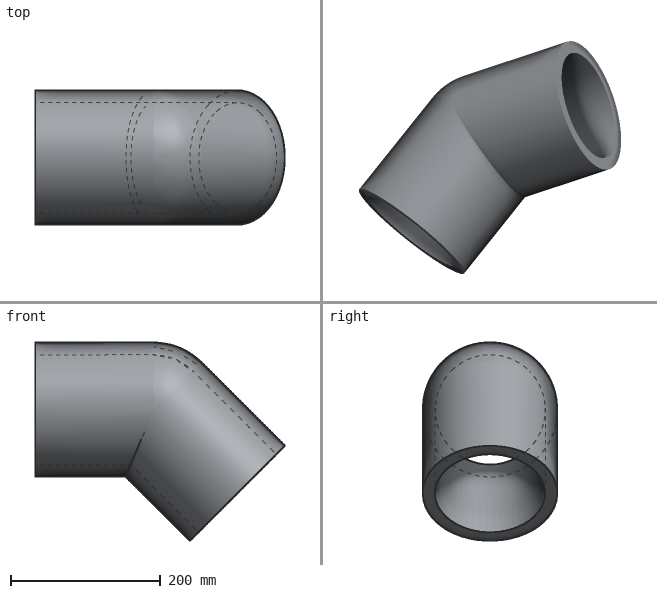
import cadquery as cq
import math

outer_diameter = 180.0
bore_diameter = 147.2
bend_angle = 45.0
leg_length = 158.5


def leg(radius, direction):
    """Cylinder from the bend centre to an open end along the given direction."""
    return cq.Workplane(cq.Solid.makeCylinder(radius, leg_length, cq.Vector(0, 0, 0), direction))


def bend_wedge(radius):
    """Spherical wedge between the two leg end planes, on the outside of the bend."""
    half_disc = (
        cq.Workplane("YZ")
        .moveTo(-radius, 0)
        .threePointArc((0, radius), (radius, 0))
        .close()
    )
    return half_disc.revolve(bend_angle, (0, 0, 0), (1, 0, 0))


def elbow_body(radius):
    """Solid elbow of the given radius: both legs and the wedge between them."""
    angle = math.radians(bend_angle)
    inlet_direction = cq.Vector(-1, 0, 0)
    outlet_direction = cq.Vector(math.cos(angle), 0, -math.sin(angle))
    inlet = leg(radius, inlet_direction)
    outlet = leg(radius, outlet_direction)
    return inlet.union(outlet).union(bend_wedge(radius))


outside = elbow_body(outer_diameter / 2)
bore = elbow_body(bore_diameter / 2)
result = outside.cut(bore)